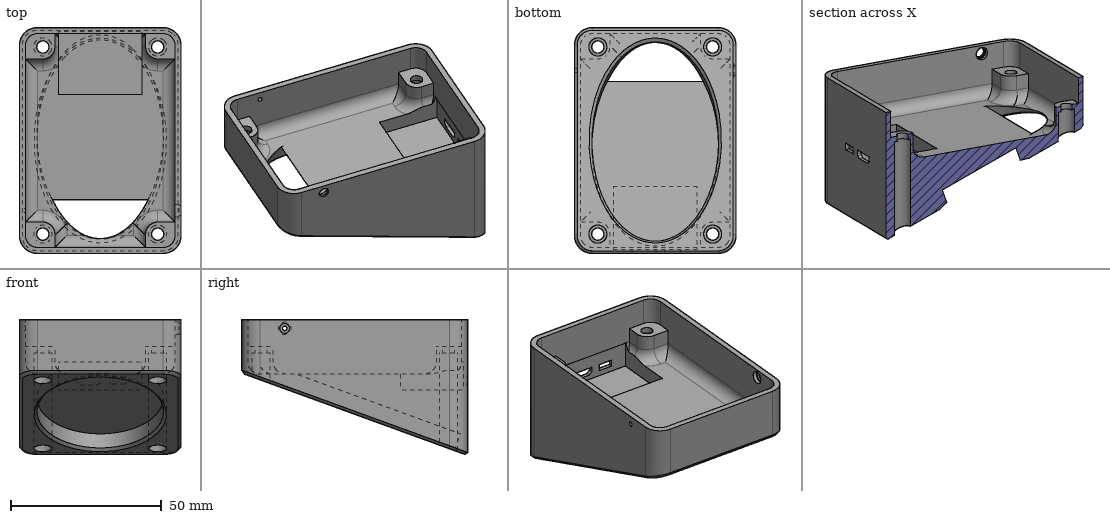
import cadquery as cq
import math

length_x = 53.7
length_y = 75.05
height_back = 44.8
corner_radius = 6.0
wall = 2.0
slope_deg = 20.0
base_chamfer = 1.0

floor_depth = 18.0
floor_fillet = 4.0

screw_x = 19.1
screw_y = 31.1
boss_radius = 4.0
boss_top_depth = 9.0
screw_diameter = 4.0
screw_head_diameter = 6.0
screw_seat_thickness = 2.0

recess_width = 42.0
recess_length = 70.4
recess_depth = 5.9
recess_chamfer = 1.0

pocket_width = 27.8
pocket_length = 20.95
pocket_depth = 5.3
pocket_wall_bite = 0.7
plug_width = 8.0
plug_height = 2.6
plug_corner_width = 1.3
plug_corner_height = 0.9
plug_corner_rounding = 0.6
plug_x = -3.75
plug_z = -20.4
switch_width = 5.1
switch_height = 2.25
switch_x = 5.8
switch_z = -20.3

side_hole_y = -23.3
side_hole_z = -2.9
pinhole_diameter = 1.4
lamp_hole_diameter = 3.3
lamp_seat_diameter = 4.2
lamp_seat_depth = 1.3

slope = math.radians(slope_deg)
inner_x = length_x - 2 * wall
inner_y = length_y - 2 * wall
inner_radius = corner_radius - wall
lowest_y = length_y / 2 - base_chamfer * math.cos(slope)


def underside_z(y):
    """Height of the sloping underside at a given y."""
    return -height_back + (lowest_y - y) * math.tan(slope)


def make_body():
    back = length_y / 2
    profile = [(-back, 0), (back, 0), (back, underside_z(back)), (-back, underside_z(-back))]
    body = cq.Workplane("YZ").polyline(profile).close().extrude(length_x / 2, both=True)
    body = body.edges("|Z").fillet(corner_radius)
    underside = cq.Vector(0, -math.sin(slope), -math.cos(slope))
    return body.faces(cq.selectors.ParallelDirSelector(underside)).chamfer(base_chamfer)


def make_cavity():
    """Space inside the walls, rounded where the floor meets the walls and bosses."""
    upper = cq.Workplane("XY").rect(inner_x, inner_y).extrude(-boss_top_depth)
    upper = upper.edges("|Z").fillet(inner_radius)

    boss_x = screw_x - boss_radius
    boss_y = screw_y - boss_radius
    boss_height = floor_depth - boss_top_depth
    floor = cq.Workplane("XY").workplane(offset=-floor_depth)
    lower = floor.rect(inner_x, 2 * boss_y).extrude(boss_height)
    lower = lower.union(floor.rect(2 * boss_x, inner_y).extrude(boss_height))
    inside_corners = cq.selectors.BoxSelector(
        (-screw_x, -screw_y, -floor_depth),
        (screw_x, screw_y, 0),
    )
    lower = lower.edges("|Z").edges(inside_corners).fillet(boss_radius)
    lower = lower.faces("<Z").edges().fillet(floor_fillet)

    cavity = upper.union(lower)
    for side in (-1, 1):
        cavity = cavity.cut(make_boss_fillet_end(side))
    return cavity


def make_boss_fillet_end(side):
    """Straight fillet along the inner flank of a front boss, mitred at both ends."""
    flank_x = side * (screw_x - boss_radius)
    toe_x = flank_x - side * floor_fillet
    front_y = -inner_y / 2
    plan = [
        (flank_x, front_y),
        (toe_x, front_y + floor_fillet),
        (toe_x, front_y + 2 * floor_fillet),
        (flank_x, front_y + floor_fillet),
    ]
    strip = (
        cq.Workplane("XY")
        .workplane(offset=-floor_depth - wall)
        .polyline(plan)
        .close()
        .extrude(wall + floor_fillet)
    )
    hollow = (
        cq.Workplane("XZ")
        .center(toe_x, floor_fillet - floor_depth)
        .circle(floor_fillet)
        .extrude(length_y / 2)
    )
    return strip.cut(hollow)


def make_recess():
    """Ellipse sunk square to the underside, with a chamfered mouth."""
    plane = cq.Plane(
        origin=(0, 0, underside_z(0)),
        xDir=(1, 0, 0),
        normal=(0, math.sin(slope), math.cos(slope)),
    )
    recess = cq.Workplane(plane).ellipse(recess_width / 2, recess_length / 2).extrude(recess_depth)
    mouth = (
        cq.Workplane(plane)
        .ellipse(recess_width / 2 + recess_chamfer, recess_length / 2 + recess_chamfer)
        .workplane(offset=recess_chamfer)
        .ellipse(recess_width / 2, recess_length / 2)
        .loft(ruled=True)
    )
    return recess.union(mouth)


def make_pocket():
    back = inner_y / 2 + pocket_wall_bite
    return (
        cq.Workplane("XY")
        .workplane(offset=-floor_depth - pocket_depth)
        .center(0, back - pocket_length / 2)
        .rect(pocket_width, pocket_length)
        .extrude(pocket_depth + floor_fillet)
    )


def make_back_openings():
    back = cq.Workplane("XZ", origin=(0, length_y / 2, 0))
    half_width = plug_width / 2
    half_height = plug_height / 2
    plug_outline = [
        (-half_width, half_height),
        (half_width, half_height),
        (half_width, plug_corner_height - half_height),
        (half_width - plug_corner_width, -half_height),
        (plug_corner_width - half_width, -half_height),
        (-half_width, plug_corner_height - half_height),
    ]
    plug = back.center(plug_x, plug_z).polyline(plug_outline).close().extrude(wall)
    plug = plug.edges("|Y").edges("not >Z").fillet(plug_corner_rounding)
    switch = back.center(switch_x, switch_z).rect(switch_width, switch_height).extrude(wall)
    return plug.union(switch)


def make_screw_holes():
    points = [(x, y) for x in (-screw_x, screw_x) for y in (-screw_y, screw_y)]
    holes = cq.Workplane("XY").pushPoints(points).circle(screw_diameter / 2).extrude(-height_back)
    heads = (
        cq.Workplane("XY")
        .workplane(offset=-boss_top_depth - screw_seat_thickness)
        .pushPoints(points)
        .circle(screw_head_diameter / 2)
        .extrude(-height_back)
    )
    return holes.union(heads)


def make_side_holes():
    across = cq.Workplane("YZ").center(side_hole_y, side_hole_z)
    pinhole = across.circle(pinhole_diameter / 2).extrude(-length_x / 2)
    lamp_hole = across.circle(lamp_hole_diameter / 2).extrude(length_x / 2)
    lamp_seat = across.circle(lamp_seat_diameter / 2).extrude(inner_x / 2 + lamp_seat_depth)
    return pinhole.union(lamp_hole).union(lamp_seat)


result = (
    make_body()
    .cut(make_cavity())
    .cut(make_recess())
    .cut(make_pocket())
    .cut(make_back_openings())
    .cut(make_screw_holes())
    .cut(make_side_holes())
)